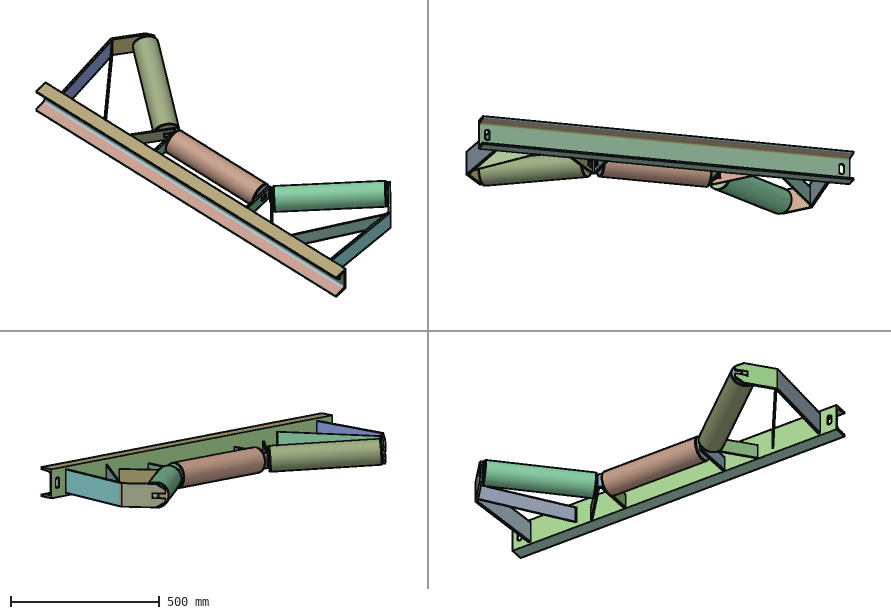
import cadquery as cq
import math

channel_length = 1300.0
channel_height = 100.0
flange_width = 51.0
web_thickness = 6.0
flange_thickness = 8.5
flange_taper = math.atan(0.08)
root_radius = 8.0
toe_radius = 4.0
mid_height = channel_height / 2

mount_slot_width = 17.0
mount_slot_length = 36.0
mount_slot_inset = 29.0

roller_length = 380.0
roller_radius = 44.0
roller_rim = 4.0
rim_step = 1.0
shaft_radius = 10.0
shaft_flat_thickness = 15.0
shaft_clearance = 1.0
roller_gap = 5.0
axis_height = 30.0

trough_angle = math.radians(40)
tilt_angle = math.radians(3)
center_roller_y = 166.0
wing_center_x = 377.0
wing_center_y = 304.0

bracket_thickness = 8.0
bracket_width = 80.0
arm_chamfer_length = 30.0
arm_chamfer_width = 18.0
arm_slot_depth = 44.0
bend_y = 347.0
knee_y = 338.0
outer_foot_x = 585.0
frame_top_y = 460.0
brace_thickness = 4.0
brace_width = 60.0
brace_top_x = 595.0
brace_top_y = 342.0
brace_foot_x = 393.0
inner_width = 52.0
inner_top_y = 200.0
inner_bend_radius = 6.0
inner_leg_thickness = 5.0

shaft_reach = roller_length / 2 + roller_gap + bracket_thickness
wing_center = (-wing_center_x, wing_center_y,
               axis_height + math.sin(tilt_angle) * roller_length / 2)
outward = (-math.cos(trough_angle), math.sin(trough_angle))
upward = (math.sin(trough_angle), math.cos(trough_angle))
wing_axis = (outward[0] * math.cos(tilt_angle), outward[1] * math.cos(tilt_angle), math.sin(tilt_angle))
wing_flat_normal = (-outward[0] * math.sin(tilt_angle), -outward[1] * math.sin(tilt_angle),
                    math.cos(tilt_angle))
center_plane = cq.Plane(origin=(0, center_roller_y, axis_height), xDir=(0, 0, 1), normal=(1, 0, 0))
wing_plane = cq.Plane(origin=wing_center, xDir=wing_flat_normal, normal=wing_axis)


def make_channel():
    """Tapered-flange channel with its web at the back and a mounting slot near each end."""
    web_face = flange_width - web_thickness
    taper_rise = math.tan(flange_taper) * web_face / 2
    toe = flange_thickness - taper_rise
    root = flange_thickness + taper_rise
    outline = [
        (0, 0), (flange_width, 0), (flange_width, channel_height), (0, channel_height),
        (0, channel_height - toe), (web_face, channel_height - root), (web_face, root), (0, toe),
    ]
    channel = (
        cq.Workplane("YZ", origin=(-channel_length / 2, 0, 0)).polyline(outline).close()
        .extrude(channel_length)
    )
    for radius, y, z in ((root_radius, web_face, root), (toe_radius, 0, toe)):
        for edge_z in (z, channel_height - z):
            channel = channel.edges(cq.NearestToPointSelector((0, y, edge_z))).fillet(radius)
    slot_x = channel_length / 2 - mount_slot_inset
    slots = (
        cq.Workplane("XZ").pushPoints([(-slot_x, mid_height), (slot_x, mid_height)])
        .slot2D(mount_slot_length, mount_slot_width, 90).extrude(-flange_width)
    )
    return channel.cut(slots)


def make_roller(plane):
    """Roller with a stepped rim at each end and a shaft whose ends have two flats."""
    body = cq.Workplane("XY", origin=(0, 0, -roller_length / 2)).circle(roller_radius).extrude(roller_length)
    body = body.faces("<Z or >Z").chamfer(roller_rim, rim_step)
    shaft = cq.Workplane("XY", origin=(0, 0, -shaft_reach)).circle(shaft_radius).extrude(2 * shaft_reach)
    flats = cq.Workplane("XY").box(shaft_flat_thickness, 2 * shaft_radius, 2 * shaft_reach)
    shaft = shaft.intersect(flats)
    return cq.Workplane(body.union(shaft).val().moved(cq.Location(plane)))


def shaft_slot(plane):
    """Flat-sided cutter around a shaft, reaching past both of its ends."""
    slot_width = shaft_flat_thickness + shaft_clearance
    slot_length = 2 * (shaft_radius + shaft_clearance)
    slot = cq.Workplane("XY").box(slot_width, slot_length, 2 * (shaft_reach + bracket_thickness))
    return cq.Workplane(slot.val().moved(cq.Location(plane)))


def point_on_face(distance, y):
    """Point at height y on the plane square to the wing roller, this far out from its middle."""
    return (wing_center[0] + (distance - (y - wing_center_y) * outward[1]) / outward[0], y)


def make_outer_bracket():
    """Left outer bracket: a leaning leg, a short straight knee and a chamfered arm with an open slot."""
    face = roller_length / 2 + roller_gap
    back = face + bracket_thickness
    tip = point_on_face(back, frame_top_y)
    tip_front = (tip[0] - outward[0] * bracket_thickness, tip[1] - outward[1] * bracket_thickness)
    bend = point_on_face(back, bend_y)
    knee_inner_x = bend[0] + bracket_thickness
    bend_inner_y = wing_center_y + (face - (knee_inner_x - wing_center[0]) * outward[0]) / outward[1]
    outline = [
        (-outer_foot_x, flange_width), (bend[0], knee_y), bend, tip, tip_front,
        (knee_inner_x, bend_inner_y), (knee_inner_x, knee_y),
        (-outer_foot_x + bracket_thickness, flange_width),
    ]
    bracket = (
        cq.Workplane("XY", origin=(0, 0, mid_height)).polyline(outline).close()
        .extrude(bracket_width / 2, both=True)
    )
    arm_end = cq.Workplane(cq.Plane(origin=(*tip, mid_height), xDir=(*upward, 0), normal=(*outward, 0)))
    for side in (-1, 1):
        edge = side * bracket_width / 2
        corner = [(0, edge), (-arm_chamfer_length, edge), (0, edge - side * arm_chamfer_width)]
        bracket = bracket.cut(arm_end.polyline(corner).close().extrude(2 * bracket_thickness, both=True))
    slot_width = shaft_flat_thickness + shaft_clearance
    slot = arm_end.rect(2 * arm_slot_depth, slot_width).extrude(2 * bracket_thickness, both=True)
    return bracket.cut(slot)


def make_inner_bracket():
    """Left inner bracket: a post beside the center roller, folded over into a leg under the wing roller."""
    post_face = -roller_length / 2 - roller_gap
    post_back = post_face - bracket_thickness
    leg_face = post_face
    leg_back = leg_face - inner_leg_thickness
    lip_bottom = inner_top_y - bracket_thickness
    outline = [
        (post_face, flange_width), (post_face, inner_top_y), point_on_face(leg_face, inner_top_y),
        point_on_face(leg_face, flange_width), point_on_face(leg_back, flange_width),
        point_on_face(leg_back, lip_bottom), (post_back, lip_bottom), (post_back, flange_width),
    ]
    bracket = (
        cq.Workplane("XY", origin=(0, 0, axis_height)).polyline(outline).close()
        .extrude(inner_width / 2, both=True)
        .edges("|Z").edges(">Y").edges(">X").fillet(inner_bend_radius)
    )
    return bracket.cut(shaft_slot(center_plane)).cut(shaft_slot(wing_plane))


def make_brace(outer_bracket):
    """Thin left brace from the channel to the knee, trimmed where it meets the outer bracket."""
    rise = brace_top_y - flange_width
    skew_thickness = brace_thickness * math.hypot(brace_top_x - brace_foot_x, rise) / rise
    outline = [
        (-brace_foot_x, flange_width), (-brace_foot_x - skew_thickness, flange_width),
        (-brace_top_x - skew_thickness, brace_top_y), (-brace_top_x, brace_top_y),
    ]
    brace = (
        cq.Workplane("XY", origin=(0, 0, mid_height)).polyline(outline).close()
        .extrude(brace_width / 2, both=True)
    )
    return brace.cut(outer_bracket)


channel = make_channel()
center_roller = make_roller(center_plane)
outer_bracket = make_outer_bracket()
wing_parts = [make_roller(wing_plane), outer_bracket, make_inner_bracket(), make_brace(outer_bracket)]

bodies = [channel.val(), center_roller.val()]
for part in wing_parts:
    bodies.append(part.val())
    bodies.append(part.mirror("YZ").val())

result = cq.Compound.makeCompound(bodies)